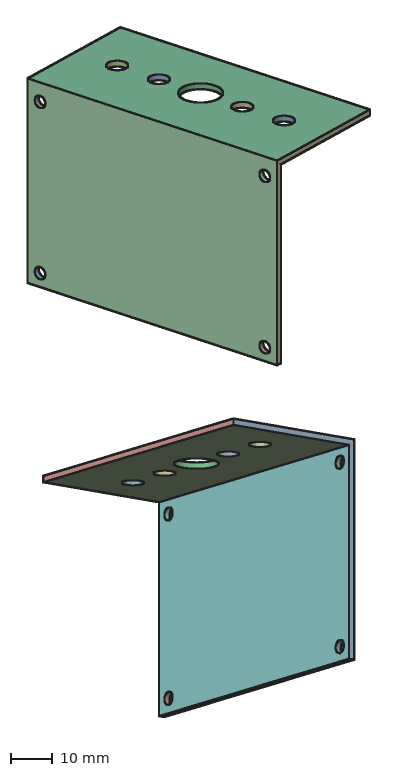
import cadquery as cq

width = 76.0
depth = 36.55
height = 54.5
thickness = 1.6

mount_diameter = 3.2
mount_spacing_x = 68.4
mount_spacing_z = 45.6
mount_center_z = -28.0

panel_diameter = 5.3
center_diameter = 10.8
panel_pitch = 12.7
panel_row_y = 19.0

upright = cq.Workplane("XY").box(width, thickness, height, centered=(True, False, False))
upright = upright.translate((0, 0, -height))
top_plate = cq.Workplane("XY").box(width, depth, thickness, centered=(True, False, False))
top_plate = top_plate.translate((0, 0, -thickness))
bracket = upright.union(top_plate)

mount_holes = (
    cq.Workplane("XZ")
    .center(0, mount_center_z)
    .rect(mount_spacing_x, mount_spacing_z, forConstruction=True)
    .vertices()
    .circle(mount_diameter / 2)
    .extrude(-thickness)
)

panel_row = cq.Workplane("XY").center(0, panel_row_y)
center_hole = panel_row.circle(center_diameter / 2).extrude(-thickness)
side_holes = (
    panel_row.pushPoints([(step * panel_pitch, 0) for step in (-2, -1, 1, 2)])
    .circle(panel_diameter / 2)
    .extrude(-thickness)
)

result = bracket.cut(mount_holes).cut(center_hole).cut(side_holes)